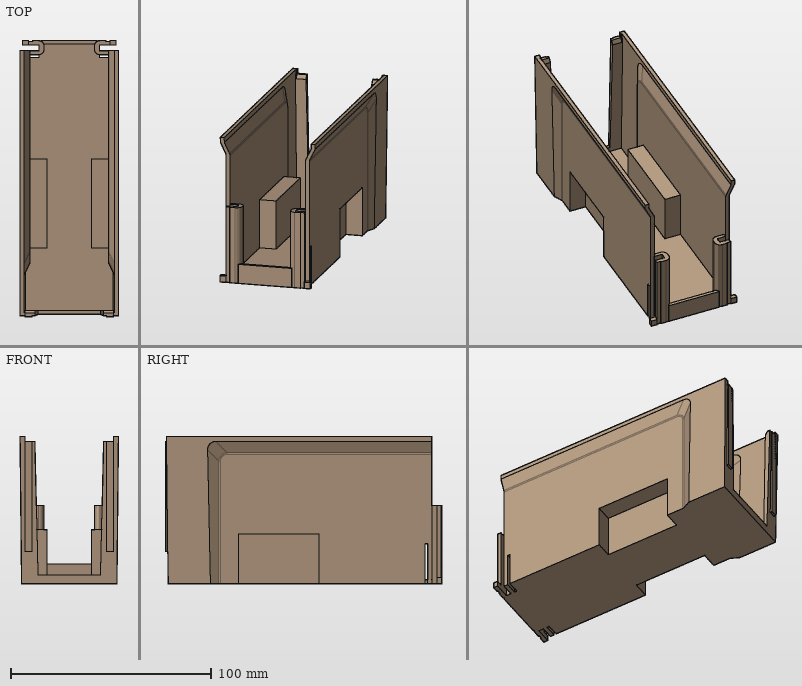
import cadquery as cq
import math

HEIGHT = 73.7
TOP_WIDTH = 49.3
WALL = 2.1
TOP_HALF_WIDTH = TOP_WIDTH / 2
BASE_HALF_WIDTH = 23.9
SIDE_DRAFT = TOP_HALF_WIDTH - BASE_HALF_WIDTH
CLIP_BACK_Y = 69.0
RIB_FRONT_Y = -69.0
BACK_Y = 64.0
FRONT_TOP_Y = -68.6
FRONT_BASE_Y = -67.7
MARGIN = 6.9

PANEL_HALF_WIDTH = 21.7
PANEL_FRONT_Y = -42.1
PANEL_TOP_Z = 65.1
PANEL_CORNER_RADIUS = 4.1
PANEL_INSIDE_CORNER_RADIUS = 5.8
PANEL_EDGE_FILLET = 2.0
BEVEL_RUN = 6.1
BEVEL_DEPTH = TOP_HALF_WIDTH - PANEL_HALF_WIDTH

FRAME_BACK_Y = -66.0
FRAME_SILL = 4.5
FRAME_TOP_Z = 71.2
FRAME_BEVEL_DEPTH = 1.2
FRAME_BEVEL_HEIGHT = 2.1
FRAME_OPENING_BASE = 15.6
FRAME_OPENING_TOP = 17.1
LIP_BACK_Y = -66.9
RIB_OUTER_X = 22.1
RIB_INNER_X = 18.5
RIB_BASE_Z = 16.1
RIB_BACK_Y = FRAME_BACK_Y - FRAME_BEVEL_DEPTH

NOTCH_FRONT_Y = -32.5
NOTCH_BACK_Y = 7.7
NOTCH_TOP_Z = 25.0
BOX_HALF_SPACING = 11.0

CLIP_HEIGHT = 39.2
CLIP_INNER_X = 12.5
CLIP_LEG = 2.6
CLIP_OUTER_X = CLIP_INNER_X + CLIP_LEG
CLIP_CORNER_RADIUS = 2.9
ARM_END_X = 20.3
ARM_STEP_X = 18.4
ARM_STEP = 0.4
ARM_THICKNESS = 2.3
ROOT_ARM_BACK_Y = 63.6
ROOT_ARM_FRONT_Y = 61.8
TAB_END_X = 23.5
TAB_HEIGHT = 3.3
REAR_PLATE_THICKNESS = 1.7
REAR_PLATE_HEIGHT = 10.0
SLOT_WIDTH = 1.2
SLOT_HEIGHT = 20.0


def box(x_range, y_range, z_range):
    """Axis-aligned block between the given limits."""
    (x0, x1), (y0, y1), (z0, z1) = x_range, y_range, z_range
    return cq.Workplane("XY").box(x1 - x0, y1 - y0, z1 - z0, centered=False).translate((x0, y0, z0))


def both_sides(half):
    """A feature on the +X side together with its mirror image."""
    return half.union(half.mirror("YZ"))


def section(points, y0, y1):
    """Outline of (x, z) points carried from y0 to y1."""
    return cq.Workplane("XZ", origin=(0, y0, 0)).polyline(points).close().extrude(y0 - y1)


def drafted_body(inset=0.0):
    """Block with tapering sides, each side moved inward by the inset."""
    base = BASE_HALF_WIDTH - inset
    top = TOP_HALF_WIDTH - inset
    return section([(-base, 0), (base, 0), (top, HEIGHT), (-top, HEIGHT)], FRONT_TOP_Y, BACK_Y)


def panel_outline(x, growth, radius):
    """Side panel outline at the given x, grown toward the front and the top."""
    front = PANEL_FRONT_Y - growth
    top = PANEL_TOP_Z + growth
    arc_inset = radius * (1 - math.sqrt(0.5))
    return (
        cq.Workplane("YZ", origin=(x, 0, 0))
        .moveTo(BACK_Y + MARGIN, -MARGIN)
        .lineTo(front, -MARGIN)
        .lineTo(front, top - radius)
        .threePointArc((front + arc_inset, top - arc_inset), (front + radius, top))
        .lineTo(BACK_Y + MARGIN, top)
        .close()
        .wires().val()
    )


def panel_recess(corner_radius, shift=0.0):
    """Space outside the recessed panel and its bevelled border, +X side, moved inward by the shift."""
    inner = panel_outline(PANEL_HALF_WIDTH - shift, 0, corner_radius)
    outer = panel_outline(TOP_HALF_WIDTH - shift, BEVEL_RUN, corner_radius)
    recess = cq.Workplane(cq.Solid.makeLoft([inner, outer], True))
    recess = recess.faces("<X").edges().fillet(PANEL_EDGE_FILLET)
    beyond = cq.Workplane(cq.Solid.extrudeLinear(outer, [], cq.Vector(MARGIN, 0, 0)))
    return recess.union(beyond)


def channel():
    """Thin-walled shell, stepped inward along the recessed panels."""
    cavity = drafted_body(WALL).cut(both_sides(panel_recess(PANEL_INSIDE_CORNER_RADIUS, WALL)))
    floor = box((-TOP_HALF_WIDTH, TOP_HALF_WIDTH), (FRONT_TOP_Y, BACK_Y), (0, WALL))
    return drafted_body().cut(both_sides(panel_recess(PANEL_CORNER_RADIUS))).cut(cavity.cut(floor))


def front_frame():
    """Thick U-shaped frame around the front opening, bevelled at the top, with full-height lips."""
    taper = SIDE_DRAFT * FRAME_TOP_Z / HEIGHT
    rim = BASE_HALF_WIDTH + taper
    frame = section(
        [(-BASE_HALF_WIDTH, 0), (BASE_HALF_WIDTH, 0), (rim, FRAME_TOP_Z), (-rim, FRAME_TOP_Z)],
        FRONT_TOP_Y, FRAME_BACK_Y,
    )
    opening = section(
        [
            (-FRAME_OPENING_BASE, FRAME_SILL), (FRAME_OPENING_BASE, FRAME_SILL),
            (FRAME_OPENING_TOP, FRAME_TOP_Z), (-FRAME_OPENING_TOP, FRAME_TOP_Z),
        ],
        FRONT_TOP_Y, FRAME_BACK_Y,
    )
    lip = section(
        [(RIB_OUTER_X, 0), (BASE_HALF_WIDTH, 0), (TOP_HALF_WIDTH, HEIGHT), (RIB_OUTER_X, HEIGHT)],
        FRONT_TOP_Y, LIP_BACK_Y,
    )
    bevel = (
        cq.Workplane("YZ", origin=(-RIB_OUTER_X, 0, 0))
        .polyline([
            (FRAME_BACK_Y, FRAME_TOP_Z),
            (FRAME_BACK_Y - FRAME_BEVEL_DEPTH, FRAME_TOP_Z),
            (FRAME_BACK_Y, FRAME_TOP_Z - FRAME_BEVEL_HEIGHT),
        ])
        .close()
        .extrude(2 * RIB_OUTER_X)
    )
    return frame.cut(opening).cut(bevel).union(both_sides(lip))


def front_draft():
    """Wedge that leans the front face back toward the base."""
    return (
        cq.Workplane("YZ", origin=(-TOP_HALF_WIDTH, 0, 0))
        .polyline([(FRONT_TOP_Y, 0), (FRONT_BASE_Y, 0), (FRONT_TOP_Y, HEIGHT)])
        .close()
        .extrude(2 * TOP_HALF_WIDTH)
    )


def front_rib():
    """Upright rib standing proud of the frame beside its outer lip."""
    return box((RIB_INNER_X, RIB_OUTER_X), (RIB_FRONT_Y, RIB_BACK_Y), (RIB_BASE_Z, FRAME_TOP_Z))


def notch_box():
    """Block inside the channel that encloses the notch."""
    return box(
        (BOX_HALF_SPACING, PANEL_HALF_WIDTH),
        (NOTCH_FRONT_Y - WALL, NOTCH_BACK_Y + WALL),
        (0, NOTCH_TOP_Z + WALL),
    )


def notch():
    """Pocket open to the outer side and the base."""
    return box(
        (BOX_HALF_SPACING + WALL, TOP_HALF_WIDTH),
        (NOTCH_FRONT_Y, NOTCH_BACK_Y),
        (0, NOTCH_TOP_Z),
    )


def rear_clip():
    """C-shaped clip: root arm from the side wall, leg, and free arm with a low end tab."""
    body = box((CLIP_INNER_X, ARM_STEP_X), (ROOT_ARM_FRONT_Y, CLIP_BACK_Y), (0, CLIP_HEIGHT))
    body = body.edges("|Z and <X").fillet(CLIP_CORNER_RADIUS)
    arm_front_y = CLIP_BACK_Y - ARM_THICKNESS
    gap = box((CLIP_OUTER_X, ARM_STEP_X), (ROOT_ARM_BACK_Y, arm_front_y), (0, CLIP_HEIGHT))
    root = box((ARM_STEP_X, PANEL_HALF_WIDTH), (ROOT_ARM_FRONT_Y, ROOT_ARM_BACK_Y), (0, CLIP_HEIGHT))
    arm_end = box((ARM_STEP_X, ARM_END_X), (arm_front_y, CLIP_BACK_Y - ARM_STEP), (0, CLIP_HEIGHT))
    tab = box((ARM_END_X, TAB_END_X), (arm_front_y, CLIP_BACK_Y), (0, TAB_HEIGHT))
    return body.cut(gap).union(root).union(arm_end).union(tab)


def rear_floor():
    """Floor tongue between the clips, ending in a low upright plate."""
    half = CLIP_INNER_X + CLIP_LEG / 2
    tongue = box((-half, half), (ROOT_ARM_FRONT_Y, CLIP_BACK_Y), (0, WALL))
    plate = box((-half, half), (CLIP_BACK_Y - REAR_PLATE_THICKNESS, CLIP_BACK_Y), (0, REAR_PLATE_HEIGHT))
    return tongue.union(plate)


def clip_slot():
    """Slot through floor and side wall just ahead of the clip root."""
    return box(
        (CLIP_OUTER_X, TOP_HALF_WIDTH),
        (ROOT_ARM_FRONT_Y - SLOT_WIDTH, ROOT_ARM_FRONT_Y),
        (0, SLOT_HEIGHT),
    )


result = (
    channel()
    .union(front_frame())
    .cut(front_draft())
    .union(both_sides(front_rib()))
    .union(both_sides(notch_box()))
    .cut(both_sides(notch()))
    .cut(both_sides(clip_slot()))
    .union(both_sides(rear_clip()))
    .union(rear_floor())
)